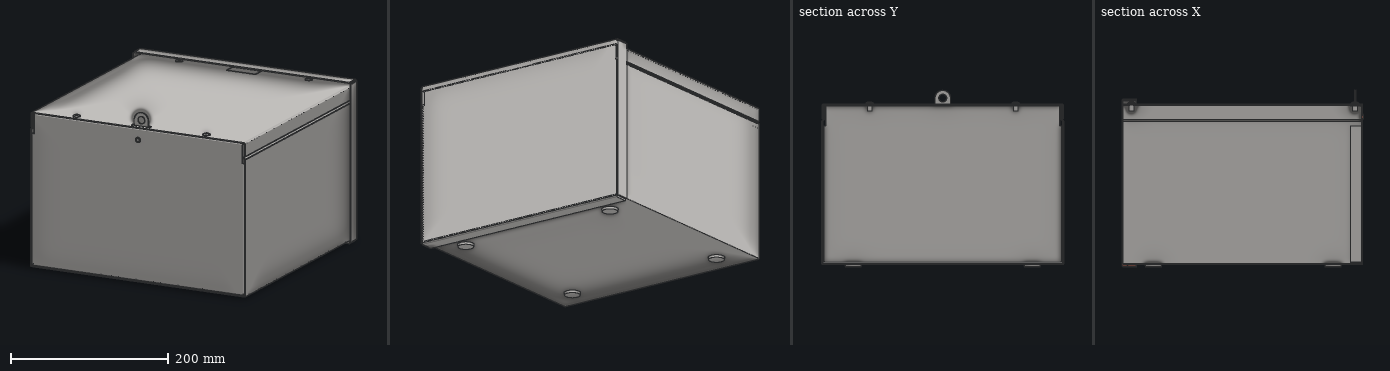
import cadquery as cq
import math


sheet = 1.5
bend_radius = 2.5
inner_bend_radius = bend_radius - sheet

cap_width = 312.7
cap_height = 214.0
cap_depth = 18.5
cap_back = 306.0
cap_lip_thickness = 2.8

box_width = 308.0
box_bottom = 3.0
box_corner_radius = 1.5
joggle_inset = 2.03
joggle_start = 185.0
joggle_end = 188.0
box_length = cap_back - sheet

cover_top = 207.5
cover_underside = cover_top - sheet
flange_underside = cover_underside - sheet
skirt_bottom = 189.0
joggle_width = box_width - 2 * joggle_inset
cover_width = joggle_width + 2 * sheet
recess_width = 41.3
recess_front = 285.5
recess_depth = 0.75

panel_width = box_width - 2 * sheet
panel_bottom = box_bottom + sheet
panel_neck_width = 298.0
panel_neck_start = 179.5
panel_flange_depth = 15.5

stud_height = 191.0
stud_collar_diameter = 7.2
stud_collar_projection = 0.3
stud_tip_diameter = 4.5
stud_tip_projection = 1.3

foot_base_diameter = 22.0
foot_end_diameter = 20.0
foot_x = 113.8
foot_front_y = 37.5
foot_rear_y = 266.0

screw_x = 93.0
screw_front_y = 9.7
screw_rear_y = 294.0
head_diameter = 9.7
head_rim_height = 0.5
head_height = 2.5
shank_diameter = 6.0
shank_length = 9.5
drive_length = 3.8
drive_width = 1.0
drive_depth = 1.3

hasp_width = 20.0
hasp_thickness = 1.5
hasp_top = 224.8
hasp_hole_diameter = 9.7
hasp_y = 9.5
hasp_slot_length = 25.5
hasp_slot_width = 5.0

screw_points = [(x, y) for x in (-screw_x, screw_x) for y in (screw_front_y, screw_rear_y)]
foot_points = [(x, y) for x in (-foot_x, foot_x) for y in (foot_front_y, foot_rear_y)]


def block(width, y_start, y_end, z_start, z_end):
    """Box centred on X = 0 between the given Y and Z limits."""
    size_y = y_end - y_start
    size_z = z_end - z_start
    base = cq.Workplane("XY").box(width, size_y, size_z, centered=(True, False, False))
    return base.translate((0, y_start, z_start))


def cylinder(diameter, x, y, z_start, z_end):
    """Upright cylinder between two heights."""
    base = cq.Workplane("XY").circle(diameter / 2).extrude(z_end - z_start)
    return base.translate((x, y, z_start))


def make_wrapper():
    outer = box_width / 2
    inner = outer - sheet
    upper_outer = joggle_width / 2
    upper_inner = upper_outer - sheet
    side_top = cover_top - bend_radius
    right_half = [
        (outer, box_bottom),
        (outer, joggle_start),
        (upper_outer, joggle_end),
        (upper_outer, side_top),
        (upper_inner, side_top),
        (upper_inner, joggle_end),
        (inner, joggle_start),
        (inner, panel_bottom),
    ]
    left_half = [(-x, z) for x, z in reversed(right_half)]
    wrapper = cq.Workplane("XZ").polyline(right_half + left_half).close().extrude(-box_length)
    wrapper = wrapper.edges("|Y and <Z").fillet(box_corner_radius)
    for x, y in foot_points:
        foot = (
            cq.Workplane("XY", origin=(x, y, 0))
            .circle(foot_end_diameter / 2)
            .workplane(offset=panel_bottom)
            .circle(foot_base_diameter / 2)
            .loft()
        )
        wrapper = wrapper.union(foot)
    return wrapper


def make_end_panel():
    lower = block(panel_width, 0, panel_flange_depth, panel_bottom, panel_neck_start)
    lower = lower.faces("<Y").edges("not >Z").fillet(bend_radius)
    upper = block(panel_neck_width, 0, panel_flange_depth, panel_neck_start - bend_radius, cover_underside)
    upper = upper.edges("<Y and >Z").fillet(bend_radius)
    cavity = block(
        panel_width - 2 * sheet,
        sheet,
        panel_flange_depth,
        panel_bottom + sheet,
        flange_underside,
    )
    cavity = cavity.faces("<Y").edges().fillet(inner_bend_radius)
    panel = lower.union(upper).cut(cavity)

    stud = (
        cq.Workplane("XZ")
        .center(0, stud_height)
        .circle(stud_collar_diameter / 2)
        .extrude(stud_collar_projection)
        .faces("<Y")
        .workplane()
        .circle(stud_tip_diameter / 2)
        .extrude(stud_tip_projection - stud_collar_projection)
    )
    panel = panel.union(stud)

    for x in (-screw_x, screw_x):
        screw_hole = cylinder(shank_diameter, x, screw_front_y, flange_underside, cover_underside)
        panel = panel.cut(screw_hole)
    half_hasp = hasp_thickness / 2
    hasp_opening = block(
        hasp_width, hasp_y - half_hasp, hasp_y + half_hasp, flange_underside, cover_underside
    )
    return panel.cut(hasp_opening)


def make_drip_cap():
    cap_front = cap_back - cap_depth
    tall = block(cap_width - 2 * bend_radius, cap_front, cap_back, 0, cap_height)
    tall = tall.faces(">Y").edges("|X").fillet(bend_radius)
    wide = block(cap_width, cap_front, cap_back, bend_radius, cap_height - bend_radius)
    wide = wide.faces(">Y").edges("|Z").fillet(bend_radius)
    cavity = block(
        cap_width - 2 * sheet,
        cap_front,
        box_length,
        cap_lip_thickness,
        cap_height - sheet,
    )
    cavity = cavity.edges(">Y and >Z").fillet(inner_bend_radius)
    return tall.union(wide).cut(cavity)


def make_cover():
    cover = block(cover_width, 0, box_length, skirt_bottom, cover_top)
    cover = cover.edges("|Y and >Z").fillet(bend_radius)
    inside = block(joggle_width, 0, box_length, skirt_bottom, cover_underside)
    inside = inside.edges("|Y and >Z").fillet(inner_bend_radius)
    cover = cover.cut(inside)

    recess = block(recess_width, recess_front, box_length, cover_top - recess_depth, cover_top)
    half_slot = hasp_slot_width / 2
    hasp_slot = block(hasp_slot_length, hasp_y - half_slot, hasp_y + half_slot, cover_underside, cover_top)
    cover = cover.cut(recess).cut(hasp_slot)
    for x, y in screw_points:
        cover = cover.cut(cylinder(shank_diameter, x, y, cover_underside, cover_top))
    return cover


def make_hasp():
    radius = hasp_width / 2
    eye_height = hasp_top - radius
    plate = (
        cq.Workplane("XZ", origin=(0, hasp_y + hasp_thickness / 2, 0))
        .moveTo(-radius, flange_underside)
        .lineTo(radius, flange_underside)
        .lineTo(radius, eye_height)
        .threePointArc((0, hasp_top), (-radius, eye_height))
        .close()
        .moveTo(0, eye_height)
        .circle(hasp_hole_diameter / 2)
        .extrude(hasp_thickness)
    )
    return plate


def make_screw(x, y):
    head_radius = head_diameter / 2
    dome_rise = head_height - head_rim_height
    dome_radius = (head_radius**2 + dome_rise**2) / (2 * dome_rise)
    middle_radius = head_radius / 2
    middle_drop = dome_radius - math.sqrt(dome_radius**2 - middle_radius**2)
    dome_middle = (middle_radius, head_height - middle_drop)
    screw = (
        cq.Workplane("XZ")
        .moveTo(0, -shank_length)
        .lineTo(shank_diameter / 2, -shank_length)
        .lineTo(shank_diameter / 2, 0)
        .lineTo(head_radius, 0)
        .lineTo(head_radius, head_rim_height)
        .threePointArc(dome_middle, (0, head_height))
        .close()
        .revolve(360, (0, 0, 0), (0, 1, 0))
    )
    for length_x, length_y in (
        (drive_length, drive_width),
        (drive_width, drive_length),
    ):
        arm = cq.Workplane("XY").rect(length_x, length_y).extrude(drive_depth)
        screw = screw.cut(arm.translate((0, 0, head_height - drive_depth)))
    return screw.translate((x, y, cover_top))


wrapper = make_wrapper()
end_panel = make_end_panel()
drip_cap = make_drip_cap()
cover = make_cover()
hasp = make_hasp()
screws = [make_screw(x, y).val() for x, y in screw_points]

result = cq.Compound.makeCompound(
    [wrapper.val(), end_panel.val(), drip_cap.val(), cover.val(), hasp.val(), *screws]
)